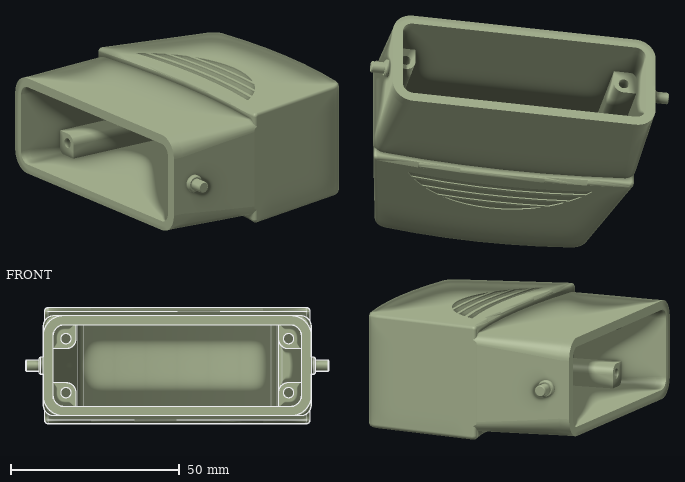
import cadquery as cq

length = 90.0
depth = 71.0
hood_height = 34.6
overlap = 0.9

skirt_width = 79.6
skirt_height = 29.7
skirt_end = 29.6
rim_depth = 3.15
rim_radius = 6.0
skirt_end_radius = 3.2
wall = 2.9
blend_stations = 6
blend_bow = 0.15

head_front = 29.8
head_front_mid = 32.8
head_front_half = 39.7
head_back_half = 31.4
head_back = 68.0
back_corner_radius = 4.95
head_edge_radius = 1.2
front_corner_radius = 0.9

cavity_width = 73.6
cavity_height = 24.1
cavity_back_half = 29.25
cavity_back = 65.3
cavity_back_mid = depth - wall
cavity_corner_radius = 2.25

boss_front = 14.3
boss_inner_x = 30.1
boss_inner_z = 5.0
boss_radius = 2.9
screw_radius = 1.5
screw_x = 33.0
screw_z = 8.0
screw_depth = 9.0

block_edge_radius = 1.0

peg_y = 7.2
peg_radius = 1.7
peg_chamfer = 0.3
collar_radius = 2.6
collar_length = 1.3
collar_chamfer = 0.45

grip_depth = 0.4
grip_circle_radius = 33.5
grip_circle_y = 17.55
band_radius = 171.0
band_fronts = (38.1, 41.2, 44.8, 48.2)
band_backs = (40.1, 43.9, 47.3, 51.75)


def rounded_section(width, height, radius):
    return cq.Sketch().rect(width, height).vertices().fillet(radius)


def blended_tube(width, height, mouth_radius, end_radius, end):
    """Rounded box along +Y: straight at the mouth, then corners tightening to end_radius."""
    rim = (
        cq.Workplane("XZ")
        .placeSketch(rounded_section(width, height, mouth_radius))
        .extrude(-rim_depth)
    )
    sections = []
    for i in range(blend_stations):
        t = i / (blend_stations - 1)
        ease = t + blend_bow * t * (1 - t)
        radius = mouth_radius + (end_radius - mouth_radius) * ease
        offset = cq.Location(cq.Vector(0, 0, -(rim_depth + t * (end - rim_depth))))
        sections.append(rounded_section(width, height, radius).moved(offset))
    return rim.union(cq.Workplane("XZ").placeSketch(*sections).loft())


def plan_prism(front_half, front, back_half, back, back_mid, height):
    """Tapering outline in plan with a straight front and an arched back, centred on z = 0."""
    return (
        cq.Workplane("XY", origin=(0, 0, -height / 2))
        .moveTo(-front_half, front)
        .lineTo(front_half, front)
        .lineTo(back_half, back)
        .threePointArc((0, back_mid), (-back_half, back))
        .close()
        .extrude(height)
    )


def unrounded_head():
    return plan_prism(head_front_half, head_front, head_back_half, head_back, depth, hood_height)


def head():
    front_scoop = (
        cq.Workplane("XY", origin=(0, 0, -hood_height / 2))
        .moveTo(-head_front_half, head_front)
        .threePointArc((0, head_front_mid), (head_front_half, head_front))
        .close()
        .extrude(hood_height)
    )
    body = unrounded_head().cut(front_scoop)
    body = body.edges("|Z").edges(">Y").fillet(back_corner_radius)
    body = body.edges("|Z").edges("<Y").fillet(front_corner_radius)
    return body.faces("|Z").edges().fillet(head_edge_radius)


def skirt():
    return blended_tube(skirt_width, skirt_height, rim_radius, skirt_end_radius, skirt_end)


def skirt_root():
    """Carries the skirt's section past a sloping shoulder into the curved front of the head."""
    section = (
        cq.Workplane("XZ", origin=(0, skirt_end, 0))
        .placeSketch(rounded_section(skirt_width, skirt_height, skirt_end_radius))
        .extrude(-(head_front_mid + overlap - skirt_end))
    )
    shoulder = (
        cq.Workplane("XY", origin=(0, 0, -hood_height / 2))
        .polyline([
            (-skirt_width / 2, skirt_end),
            (skirt_width / 2, skirt_end),
            (head_front_half, head_front),
            (-head_front_half, head_front),
        ])
        .close()
        .extrude(hood_height)
    )
    return section.intersect(unrounded_head().union(shoulder))


def mouth_cavity():
    return blended_tube(
        cavity_width, cavity_height, rim_radius - wall, skirt_end_radius - wall, skirt_end
    )


def chamber():
    """Tapering cavity inside the head."""
    space = plan_prism(
        cavity_width / 2, skirt_end, cavity_back_half, cavity_back, cavity_back_mid, cavity_height
    )
    return space.edges("|Z").edges(">Y").fillet(cavity_corner_radius)


def screw_boss(side_x, side_z):
    """Boss along one corner of the cavity with its screw hole, reaching into the walls."""
    width = skirt_width / 2 - boss_inner_x
    height = skirt_height / 2 - boss_inner_z
    centre = (side_x * (boss_inner_x + width / 2), boss_front, side_z * (boss_inner_z + height / 2))
    post = cq.Workplane("XZ", origin=centre).rect(width, height).extrude(boss_front - depth)
    inner_x = "<X" if side_x > 0 else ">X"
    inner_z = "<Z" if side_z > 0 else ">Z"
    post = post.faces(inner_x).edges("|Y").edges(inner_z).fillet(boss_radius)
    hole = (
        cq.Workplane("XZ", origin=(side_x * screw_x, boss_front, side_z * screw_z))
        .circle(screw_radius)
        .extrude(-screw_depth)
    )
    return post.cut(hole)


def block_envelope():
    """Untrimmed block: everything on the +X side behind the skirt, with a rounded inner edge."""
    width = skirt_width / 2 - boss_inner_x
    envelope = cq.Workplane("XY").box(
        width, depth - skirt_end, skirt_height, centered=(False, False, True)
    )
    envelope = envelope.translate((boss_inner_x, skirt_end, 0))
    return envelope.edges("|Z").edges("<X").edges("<Y").fillet(block_edge_radius)


def peg(side_x):
    """Locking peg with its collar, standing on one side of the skirt."""
    base = cq.Workplane("YZ", origin=(skirt_width / 2 - overlap, peg_y, 0))
    collar = base.circle(collar_radius).extrude(overlap + collar_length)
    collar = collar.faces(">X").chamfer(collar_chamfer)
    pin = base.circle(peg_radius).extrude((length - skirt_width) / 2 + overlap)
    pin = pin.faces(">X").chamfer(peg_chamfer)
    body = collar.union(pin)
    return body if side_x > 0 else body.mirror("YZ")


def grip_band(front, back, side_z):
    """One recessed band of the grip on the top (+1) or bottom (-1) of the head."""
    base = cq.Workplane("XY", origin=(0, 0, side_z * (hood_height / 2 - grip_depth)))
    reach = side_z * (grip_depth + overlap)
    grip_disc = base.center(0, grip_circle_y).circle(grip_circle_radius).extrude(reach)
    up_to_back = base.center(0, back - band_radius).circle(band_radius).extrude(reach)
    before_front = base.center(0, front - band_radius).circle(band_radius).extrude(reach)
    return grip_disc.intersect(up_to_back).cut(before_front)


def make_housing():
    mouth = mouth_cavity()
    back_space = chamber()
    for side_x in (-1, 1):
        for side_z in (-1, 1):
            boss = screw_boss(side_x, side_z).cut(block_envelope())
            mouth = mouth.cut(boss)
            back_space = back_space.cut(boss)
    body = head().union(skirt()).union(skirt_root())
    body = body.cut(mouth).cut(back_space)
    for side_x in (-1, 1):
        body = body.union(peg(side_x))
    for side_z in (-1, 1):
        for front, back in zip(band_fronts, band_backs):
            body = body.cut(grip_band(front, back, side_z))
    return body


def make_block():
    """Wedge filling the +X side of the chamber, flush with the bosses in front of it."""
    return chamber().intersect(block_envelope())


housing = make_housing()
block = make_block()
result = cq.Compound.makeCompound([housing.solids().val(), block.solids().val()])